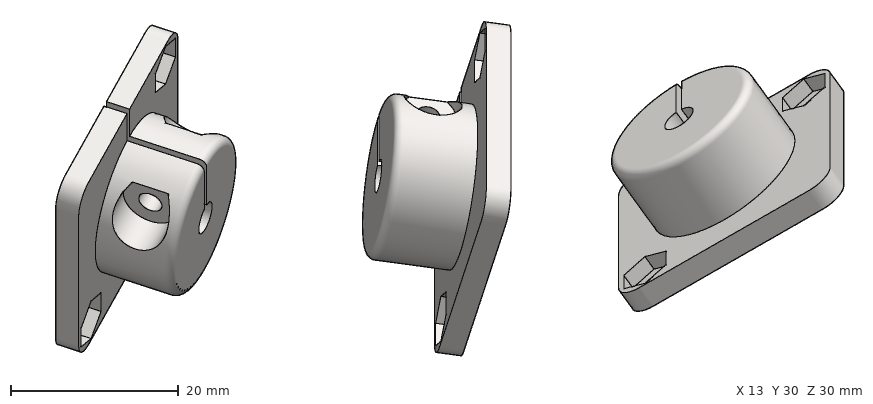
import cadquery as cq
import math

plate_side = 30.0
plate_thickness = 3.0
plate_corner_radius = 3.0

hub_diameter = 20.0
hub_length = 10.0
hub_edge_radius = 1.0
total_length = plate_thickness + hub_length

bore_diameter = 4.0
slit_width = 0.75

mount_hole_diameter = 3.0
mount_hole_offset = 11.25

nut_sides = 6
nut_across_flats = 6.0
nut_across_corners = nut_across_flats / math.cos(math.pi / nut_sides)
nut_seat_x = 1.0
nut_pocket_depth = plate_thickness - nut_seat_x

screw_hole_diameter = 3.0
screw_recess_diameter = 7.0
screw_x = plate_thickness + hub_length / 2
screw_z = 6.0
screw_seat_distance = 5.0


def cylinder_along_y(diameter, y_start, y_end):
    """Cylinder on the clamping screw axis between two Y positions."""
    start = cq.Vector(screw_x, y_start, screw_z)
    solid = cq.Solid.makeCylinder(diameter / 2, y_end - y_start, start, cq.Vector(0, 1, 0))
    return cq.Workplane(obj=solid)


def make_plate():
    """Square plate with rounded corners and two diagonal mounting holes with nut pockets."""
    plate = (
        cq.Workplane("YZ")
        .rect(plate_side, plate_side)
        .extrude(plate_thickness)
        .edges("|X")
        .fillet(plate_corner_radius)
    )
    mount_points = [(side * mount_hole_offset, side * mount_hole_offset) for side in (-1, 1)]
    holes = (
        cq.Workplane("YZ")
        .pushPoints(mount_points)
        .circle(mount_hole_diameter / 2)
        .extrude(plate_thickness)
    )
    nut_outline = cq.Sketch().regularPolygon(nut_across_corners / 2, nut_sides)
    nut_pockets = (
        cq.Workplane("YZ")
        .workplane(offset=nut_seat_x)
        .pushPoints(mount_points)
        .placeSketch(nut_outline)
        .extrude(nut_pocket_depth)
    )
    return plate.cut(holes).cut(nut_pockets)


def make_hub():
    """Round hub with a rounded free end."""
    return (
        cq.Workplane("YZ")
        .workplane(offset=plate_thickness)
        .circle(hub_diameter / 2)
        .extrude(hub_length)
        .faces(">X")
        .edges()
        .fillet(hub_edge_radius)
    )


def make_bore_and_slit():
    """Central bore joined to the slit that runs out through the top."""
    bore = cq.Workplane("YZ").circle(bore_diameter / 2).extrude(total_length)
    slit_height = plate_side / 2
    slit = (
        cq.Workplane("YZ")
        .center(0, slit_height / 2)
        .rect(slit_width, slit_height)
        .extrude(total_length)
    )
    return bore.union(slit)


def make_screw_cut():
    """Clamping screw hole with a recess for the head and one for the nut."""
    hub_radius = hub_diameter / 2
    hole = cylinder_along_y(screw_hole_diameter, -hub_radius, hub_radius)
    head_recess = cylinder_along_y(screw_recess_diameter, -hub_radius, -screw_seat_distance)
    nut_recess = cylinder_along_y(screw_recess_diameter, screw_seat_distance, hub_radius)
    return hole.union(head_recess).union(nut_recess)


result = make_plate().union(make_hub()).cut(make_bore_and_slit()).cut(make_screw_cut())